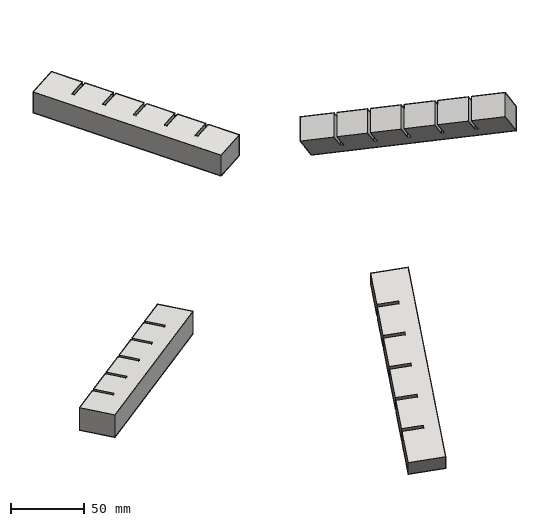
import cadquery as cq

length = 146.0
width = 26.0
height = 18.0

slot_count = 5
slot_pitch = 24.0
slot_width = 2.0
slot_depth = 15.0

bar = cq.Workplane("XY").box(length, width, height)

slot_center_y = (width - slot_depth) / 2
slots = (
    cq.Workplane("XY")
    .center(0, slot_center_y)
    .rarray(slot_pitch, 1.5, slot_count, 1)
    .rect(slot_width, slot_depth)
    .extrude(height / 2, both=True)
)

result = bar.cut(slots)